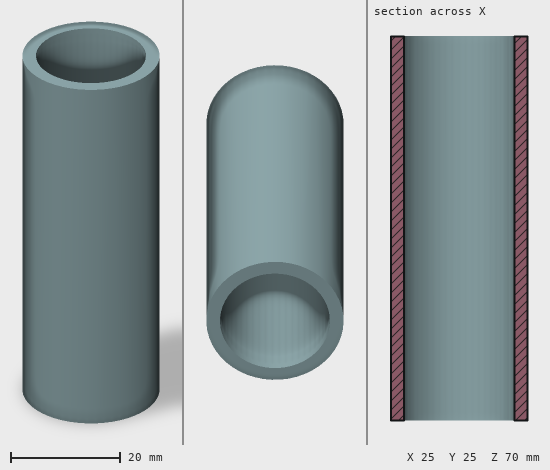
import cadquery as cq

length = 70.0
outer_diameter = 25.0
bore_diameter = 20.0

result = (
    cq.Workplane("XY")
    .circle(outer_diameter / 2)
    .circle(bore_diameter / 2)
    .extrude(length)
)